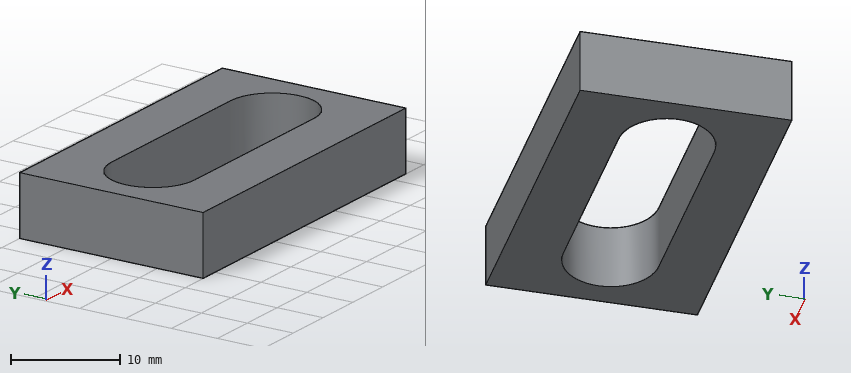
import cadquery as cq

length = 34.0
width = 20.0
thickness = 6.4

slot_length = 29.0
slot_width = 9.0

plate = cq.Workplane("XY").box(length, width, thickness)

result = plate.faces(">Z").workplane().slot2D(slot_length, slot_width).cutThruAll()